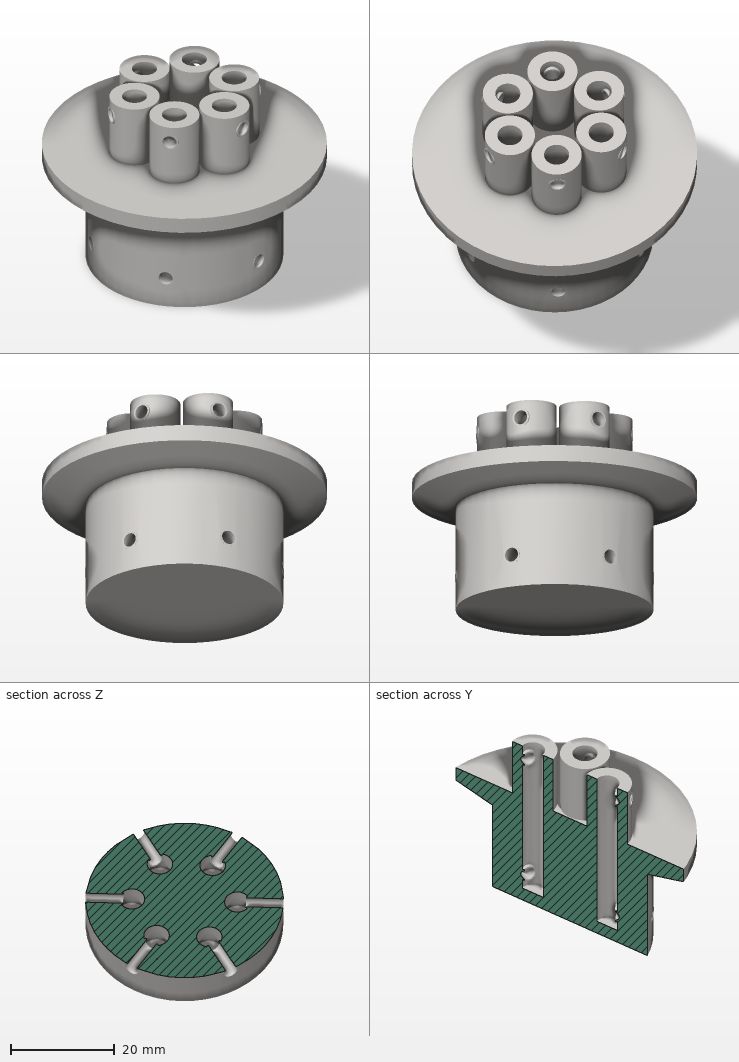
import cadquery as cq
import math

flange_radius = 27.45
flange_thickness = 3.2
flange_top = 25.4
barrel_radius = 19.05
barrel_height = 20.1
flange_bottom = flange_top - flange_thickness

post_count = 6
post_circle_radius = 10.15
post_radius = 4.85
overall_height = 38.1
post_height = overall_height - flange_top

bore_radius = 2.4
bore_floor = 3.0

screw_hole_radius = 1.35
sleeve_radius = 1.75
lower_screw_height = 6.35
upper_screw_drop = 3.35
upper_screw_height = overall_height - upper_screw_drop

sleeve_inner_end = post_circle_radius + math.sqrt(bore_radius**2 - sleeve_radius**2)
post_outer_reach = post_circle_radius + post_radius


def turned_body():
    return (
        cq.Workplane("XZ")
        .polyline([
            (0, 0),
            (barrel_radius, 0),
            (barrel_radius, barrel_height),
            (flange_radius, flange_bottom),
            (flange_radius, flange_top),
            (0, flange_top),
        ])
        .close()
        .revolve(360, (0, 0), (0, 1))
    )


def post_ring(radius, bottom, height):
    """Upright cylinders, one at every post position."""
    return (
        cq.Workplane("XY", origin=(0, 0, bottom))
        .polarArray(post_circle_radius, 90, 360, post_count)
        .circle(radius)
        .extrude(height)
    )


def radial_ring(radius, height, start, end):
    """Horizontal cylinders pointing outwards through every post axis."""
    spokes = cq.Workplane("XY")
    for index in range(post_count):
        angle = 90 + index * 360 / post_count
        spoke = (
            cq.Workplane("YZ", origin=(start, 0, height))
            .circle(radius)
            .extrude(end - start)
            .rotate((0, 0, 0), (0, 0, 1), angle)
        )
        spokes = spokes.add(spoke)
    return spokes.combine()


screw_rows = [
    (lower_screw_height, barrel_radius),
    (upper_screw_height, post_outer_reach),
]

result = turned_body().union(post_ring(post_radius, flange_top, post_height))
result = result.cut(post_ring(bore_radius, bore_floor, overall_height - bore_floor))
for height, outer_end in screw_rows:
    result = result.union(radial_ring(sleeve_radius, height, sleeve_inner_end, outer_end))
    result = result.cut(radial_ring(screw_hole_radius, height, post_circle_radius, outer_end))